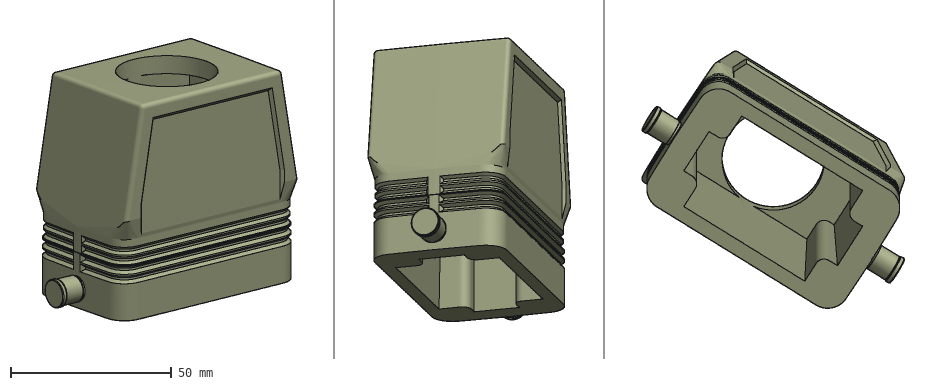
import cadquery as cq
import math


TOTAL_LENGTH = 91.2
TOTAL_WIDTH = 45.0
TOTAL_HEIGHT = 70.0

BASE_HALF_X = 21.5
BASE_HALF_Y = 36.4
BAND_INSET = 0.3
BAND_START_Z = 18.1
BAND_TOP_Z = 26.4
BODY_CORNER_R = 6.8
BODY_END_ANGLE = 1.1

UPPER_HALF_X = TOTAL_WIDTH / 2
END_SLOPE = 0.179
PARTING_DRAFT = 0.2
UPPER_EDGE_R = 1.5
UPPER_OVERLAP = 0.9

FLARE_TOP_Z = 33.3
FLARE_END_LEAN = 0.7

GROOVE_COUNT = 4
GROOVE_PITCH = 3.1
GROOVE_HEIGHT = 2.55
GROOVE_DEPTH = 1.2
GROOVE_FLANK = 0.9
FIRST_GROOVE_Z = 12.1
SPINE_HALF_WIDTH = 1.6

PANEL_TOP_HALF_Y = 24.1
PANEL_HALF_Y = 29.0
PANEL_TOP_Z = 65.2
PANEL_KNEE_Z = 37.4
PANEL_BOTTOM_Z = 25.5
PANEL_DEPTH = 1.0
PANEL_EDGE_ANGLE = 45

HOLE_DIAMETER = 31.9
ROOF_THICKNESS = 5.9
CAVITY_HALF_X = 17.0
CAVITY_HALF_Y = 28.3
CAVITY_DRAFT = 1.1
POST_INNER_X = 7.4
POST_INNER_Y = 22.25
POST_ROUND_R = 2.9

PIN_Z = 6.4
PIN_R = 4.3
PIN_COLLAR_R = 4.6
PIN_NECK_R = 4.0
PIN_COLLAR_LENGTH = 1.5
PIN_NECK_LENGTH = 0.4
PIN_ROOT_NECK_LENGTH = 0.7
PIN_CHAMFER = 0.3
PIN_ROOT_DEPTH = 1.8


def body_outline(half_x, half_y, corner_r, z):
    """Rounded plan outline whose two ends are shallow Vs."""
    slope = math.radians(BODY_END_ANGLE)
    arc_center_x = half_x - corner_r
    arc_center_y = half_y - arc_center_x * math.tan(slope) - corner_r / math.cos(slope)
    tangent_x = arc_center_x + corner_r * math.sin(slope)
    tangent_y = arc_center_y + corner_r * math.cos(slope)
    middle = (math.pi / 2 - slope) / 2
    middle_x = arc_center_x + corner_r * math.cos(middle)
    middle_y = arc_center_y + corner_r * math.sin(middle)
    return (
        cq.Workplane("XY", origin=(0, 0, z))
        .moveTo(0, half_y)
        .lineTo(tangent_x, tangent_y)
        .threePointArc((middle_x, middle_y), (half_x, arc_center_y))
        .lineTo(half_x, -arc_center_y)
        .threePointArc((middle_x, -middle_y), (tangent_x, -tangent_y))
        .lineTo(0, -half_y)
        .lineTo(-tangent_x, -tangent_y)
        .threePointArc((-middle_x, -middle_y), (-half_x, -arc_center_y))
        .lineTo(-half_x, arc_center_y)
        .threePointArc((-middle_x, middle_y), (-tangent_x, tangent_y))
        .close()
    )


def body_slab(inset, z_bottom, z_top):
    outline = body_outline(BASE_HALF_X - inset, BASE_HALF_Y - inset, BODY_CORNER_R - inset, z_bottom)
    return outline.extrude(z_top - z_bottom)


def body_loft(inset_bottom, z_bottom, inset_top, z_top):
    wires = []
    for inset, z in ((inset_bottom, z_bottom), (inset_top, z_top)):
        outline = body_outline(BASE_HALF_X - inset, BASE_HALF_Y - inset, BODY_CORNER_R - inset, z)
        wires.append(outline.val())
    return cq.Workplane(cq.Solid.makeLoft(wires, True))


def end_spine(z_bottom, z_top):
    """Strip along both ends with 45 degree sides, left uncut by a groove."""
    foot = SPINE_HALF_WIDTH + GROOVE_DEPTH
    foot_y = BASE_HALF_Y - GROOVE_DEPTH
    outline = [
        (-SPINE_HALF_WIDTH, -BASE_HALF_Y),
        (SPINE_HALF_WIDTH, -BASE_HALF_Y),
        (foot, -foot_y),
        (foot, foot_y),
        (SPINE_HALF_WIDTH, BASE_HALF_Y),
        (-SPINE_HALF_WIDTH, BASE_HALF_Y),
        (-foot, foot_y),
        (-foot, -foot_y),
    ]
    return cq.Workplane("XY", origin=(0, 0, z_bottom)).polyline(outline).close().extrude(z_top - z_bottom)


def grip_groove(z_bottom):
    """Ring cutter with sloping flanks and a flat floor."""
    z_top = z_bottom + GROOVE_HEIGHT
    lip_inset = BAND_INSET if z_bottom >= BAND_START_Z else 0
    floor_bottom = z_bottom + GROOVE_FLANK
    floor_top = z_top - GROOVE_FLANK
    core = (
        body_loft(lip_inset, z_bottom, GROOVE_DEPTH, floor_bottom)
        .union(body_slab(GROOVE_DEPTH, floor_bottom, floor_top))
        .union(body_loft(GROOVE_DEPTH, floor_top, lip_inset, z_top))
    )
    return body_slab(0, z_bottom, z_top).cut(core).cut(end_spine(z_bottom, z_top))


def lower_body():
    body = body_slab(0, 0, BAND_START_Z).union(body_slab(BAND_INSET, BAND_START_Z, BAND_TOP_Z))
    for index in range(GROOVE_COUNT):
        body = body.cut(grip_groove(FIRST_GROOVE_Z + index * GROOVE_PITCH))
    return body


def end_y(z):
    """Y of the sloping upper end face on the parting plane."""
    return BASE_HALF_Y - BAND_INSET - END_SLOPE * (z - BAND_TOP_Z)


def flare():
    band_outline = body_outline(
        BASE_HALF_X - BAND_INSET, BASE_HALF_Y - BAND_INSET, BODY_CORNER_R - BAND_INSET, BAND_TOP_Z
    )
    top_outline = body_outline(
        UPPER_HALF_X, BASE_HALF_Y - BAND_INSET - FLARE_END_LEAN, UPPER_EDGE_R, FLARE_TOP_Z
    )
    return cq.Workplane(cq.Solid.makeLoft([band_outline.val(), top_outline.val()], True))


def upper_body():
    start_z = BAND_TOP_Z - UPPER_OVERLAP
    profile = [
        (-end_y(start_z), start_z),
        (end_y(start_z), start_z),
        (end_y(TOTAL_HEIGHT), TOTAL_HEIGHT),
        (-end_y(TOTAL_HEIGHT), TOTAL_HEIGHT),
    ]
    half = cq.Workplane("YZ").polyline(profile).close().extrude(UPPER_HALF_X, taper=PARTING_DRAFT)
    half = half.faces(">X").edges("not <Z").add(half.faces(">Z").edges(">Y or <Y")).fillet(UPPER_EDGE_R)
    upper = half.union(half.mirror("YZ"))
    below = cq.Workplane("XY").rect(TOTAL_LENGTH, TOTAL_LENGTH).extrude(FLARE_TOP_Z)
    return upper.cut(below).union(upper.intersect(flare()))


def side_panel():
    """Cutter for the recessed panel on the +X side, with sloping edges."""
    outline = [
        (-PANEL_HALF_Y, PANEL_BOTTOM_Z),
        (PANEL_HALF_Y, PANEL_BOTTOM_Z),
        (PANEL_HALF_Y, PANEL_KNEE_Z),
        (PANEL_TOP_HALF_Y, PANEL_TOP_Z),
        (-PANEL_TOP_HALF_Y, PANEL_TOP_Z),
        (-PANEL_HALF_Y, PANEL_KNEE_Z),
    ]
    surface = cq.Workplane("YZ", origin=(UPPER_HALF_X, 0, 0))
    return surface.polyline(outline).close().extrude(-PANEL_DEPTH, taper=PANEL_EDGE_ANGLE)


def cavity():
    """Drafted inner space, open at the rim, less a rounded post in each corner."""
    height = TOTAL_HEIGHT - ROOF_THICKNESS
    space = cq.Workplane("XY").rect(2 * CAVITY_HALF_X, 2 * CAVITY_HALF_Y).extrude(height, taper=CAVITY_DRAFT)
    for side_x in (-1, 1):
        for side_y in (-1, 1):
            post = (
                cq.Workplane("XY")
                .moveTo(side_x * POST_INNER_X, side_y * POST_INNER_Y)
                .lineTo(side_x * CAVITY_HALF_X, side_y * POST_INNER_Y)
                .lineTo(side_x * CAVITY_HALF_X, side_y * CAVITY_HALF_Y)
                .lineTo(side_x * POST_INNER_X, side_y * CAVITY_HALF_Y)
                .close()
                .extrude(height)
                .edges(cq.NearestToPointSelector((side_x * POST_INNER_X, side_y * POST_INNER_Y, height / 2)))
                .fillet(POST_ROUND_R)
            )
            space = space.cut(post)
    return space


def cable_hole():
    return cq.Workplane("XY").circle(HOLE_DIAMETER / 2).extrude(TOTAL_HEIGHT)


def locking_pin():
    """Turned pin on the +Y end: neck, shaft, neck and a chamfered collar."""
    tip_y = TOTAL_LENGTH / 2
    collar_y = tip_y - PIN_COLLAR_LENGTH
    shaft_end_y = collar_y - PIN_NECK_LENGTH
    shaft_start_y = BASE_HALF_Y + PIN_ROOT_NECK_LENGTH
    root_y = BASE_HALF_Y - PIN_ROOT_DEPTH
    profile = [
        (0, root_y),
        (PIN_NECK_R, root_y),
        (PIN_NECK_R, shaft_start_y),
        (PIN_R, shaft_start_y),
        (PIN_R, shaft_end_y),
        (PIN_NECK_R, shaft_end_y),
        (PIN_NECK_R, collar_y),
        (PIN_COLLAR_R, collar_y),
        (PIN_COLLAR_R, tip_y - PIN_CHAMFER),
        (PIN_COLLAR_R - PIN_CHAMFER, tip_y),
        (0, tip_y),
    ]
    pin = cq.Workplane("XY").polyline(profile).close().revolve(360, (0, 0, 0), (0, 1, 0))
    return pin.translate((0, 0, PIN_Z))


hood = lower_body().union(upper_body())
panel = side_panel()
hood = hood.cut(panel).cut(panel.mirror("YZ"))
hood = hood.cut(cavity()).cut(cable_hole())
pin = locking_pin()
result = hood.union(pin).union(pin.mirror("XZ"))